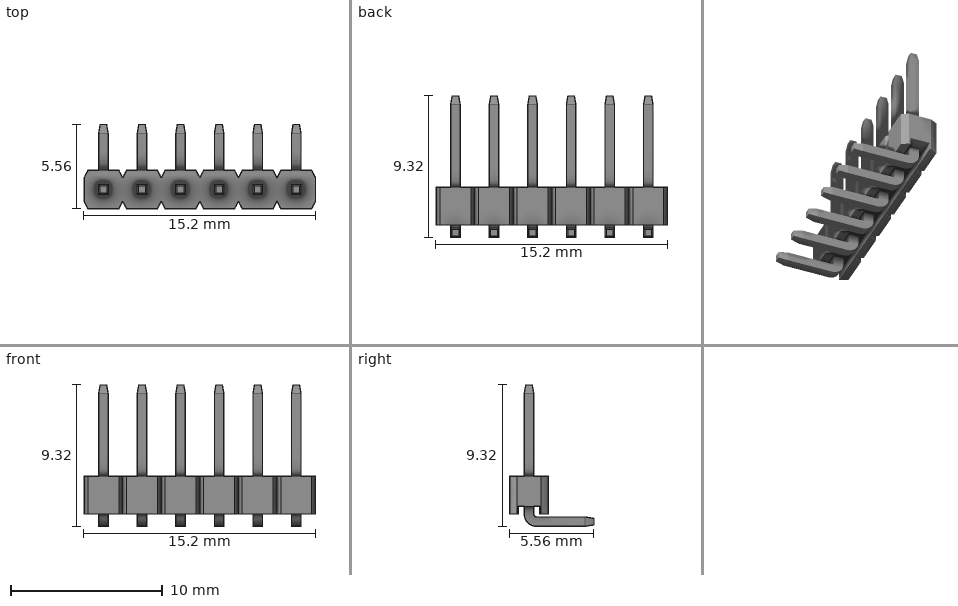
import cadquery as cq


pin_count = 6
row_length = 15.24
pitch = row_length / pin_count
housing_depth = 2.55
housing_height = 2.5
notch_width = 0.5
notch_depth = 0.49
channel_width = 1.39
channel_height = 0.5

pin_width = 0.64
pin_rise = 6.0
pin_drop = 0.82
pin_reach = 4.28
bend_outer_radius = pin_drop
bend_inner_radius = bend_outer_radius - pin_width
tip_width = 0.44
top_tip_length = 0.56
leg_tip_length = 0.6


def make_notches(x):
    """Front and back V-notches, running the full height, centred at x."""
    half_width = notch_width / 2
    notches = cq.Workplane("XY")
    for side in (-1, 1):
        face_y = side * housing_depth / 2
        apex_y = face_y - side * notch_depth
        notch = (
            cq.Workplane("XY")
            .polyline([(x - half_width, face_y), (x, apex_y), (x + half_width, face_y)])
            .close()
            .extrude(housing_height)
        )
        notches = notches.add(notch)
    return notches.combine()


def make_housing():
    """Block with V-notches between pins, matching end chamfers and an open channel underneath."""
    housing = cq.Workplane("XY").box(
        row_length, housing_depth, housing_height, centered=(True, True, False)
    )
    for index in range(pin_count + 1):
        housing = housing.cut(make_notches(index * pitch - row_length / 2))
    channel = cq.Workplane("XY").box(
        row_length, channel_width, channel_height, centered=(True, True, False)
    )
    return housing.cut(channel)


def make_tip(base_plane, length):
    """Square taper that narrows from the pin width to the tip width along the plane normal."""
    return (
        cq.Workplane(base_plane)
        .rect(pin_width, pin_width)
        .workplane(offset=length)
        .rect(tip_width, tip_width)
        .loft(ruled=True)
    )


def make_pin():
    """One L-bent pin whose upper leg lies on the Z axis."""
    half = pin_width / 2
    upper_end = housing_height + pin_rise - top_tip_length
    lower_end = pin_reach - leg_tip_length
    upper_leg_length = upper_end + pin_drop
    lower_leg_length = lower_end + half
    lower_axis_z = half - pin_drop

    upper_leg = cq.Workplane("XY").box(
        pin_width, pin_width, upper_leg_length, centered=(True, True, False)
    ).translate((0, 0, -pin_drop))
    lower_leg = cq.Workplane("XY").box(
        pin_width, lower_leg_length, pin_width, centered=(True, False, False)
    ).translate((0, -half, -pin_drop))

    inner_corner = cq.selectors.NearestToPointSelector((0, half, pin_width - pin_drop))
    outer_corner = cq.selectors.NearestToPointSelector((0, -half, -pin_drop))
    bent_bar = upper_leg.union(lower_leg)
    bent_bar = bent_bar.edges("|X").edges(inner_corner).fillet(bend_inner_radius)
    bent_bar = bent_bar.edges("|X").edges(outer_corner).fillet(bend_outer_radius)

    top_plane = cq.Plane(origin=(0, 0, upper_end), xDir=(1, 0, 0), normal=(0, 0, 1))
    leg_plane = cq.Plane(origin=(0, lower_end, lower_axis_z), xDir=(1, 0, 0), normal=(0, 1, 0))
    top_tip = make_tip(top_plane, top_tip_length)
    leg_tip = make_tip(leg_plane, leg_tip_length)
    return bent_bar.union(top_tip).union(leg_tip)


result = make_housing()
pin = make_pin()
for index in range(pin_count):
    pin_x = (index + 0.5) * pitch - row_length / 2
    result = result.union(pin.translate((pin_x, 0, 0)))